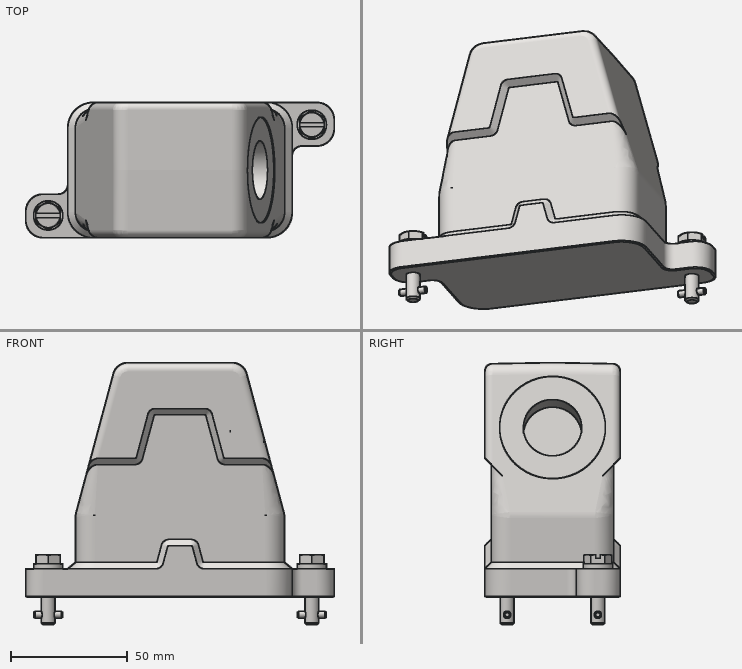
import cadquery as cq
import math

part_length = 132.0
part_width = 58.0
flange_height = 12.1
flange_length = 96.1
underside_chamfer_height = 0.8
underside_chamfer_width = 0.4

ear_width = 18.7
ear_radius = 7.5
ear_root_radius = 4.0
screw_x = 56.4
screw_y = 19.4

hood_length = 89.5
hood_width = 52.5
hood_corner_radius = 8.3
hood_height = 100.3
bend_z = 35.1
bend_radius = 10.0
end_wall_angle = math.radians(15.0)
roof_drop = 0.5
roof_end_radius = 6.6
upper_edge_radius = 3.3

step = (part_width - hood_width) / 2
bevel_taper = 45.0
bevel_top_z = flange_height + step
flange_corner_radius = hood_corner_radius + step

recess_shoulder_z = 59.4
recess_top_z = 80.7
recess_top_half_width = 13.1
recess_wing_half_width = 31.7
recess_bottom_z = 39.6
core_top_z = 81.8
keel_depth = 15.8

tongue_top_z = 24.7
tongue_top_half_width = 7.3
tongue_base_half_length = 33.0
tongue_bottom_z = 5.3

tongue_tip_radius = 3.3
tongue_foot_radius = 0.7

entry_z = 72.6
entry_diameter = 25.0
entry_depth = 13.2
seat_diameter = 45.3
seat_depth = 0.5

collar_diameter = 12.5
collar_height = 2.1
head_height = 4.0
head_corner_diameter = 12.0
head_chamfer_height = 0.4
head_chamfer_width = 0.8
slot_width = 1.8
slot_depth = 1.6
shank_diameter = 6.0
shank_length = 11.7
shank_chamfer = 0.8
cross_pin_diameter = 3.0
cross_pin_length = 12.3
cross_pin_chamfer = 0.5
cross_pin_z = -7.5

pick = 0.7


def end_wall_x(z):
    """X of the sloping +X end wall at height z."""
    return hood_length / 2 - (z - bend_z) * math.tan(end_wall_angle)


def rounded_loft(bottom, top):
    """Straight-sided solid between two rounded rectangles, each (z, length, width, corner radius)."""
    sketches = []
    for z, length, width, radius in (bottom, top):
        sketch = cq.Sketch().rect(length, width).vertices().fillet(radius)
        sketches.append(sketch.moved(cq.Location(cq.Vector(0, 0, z))))
    return cq.Workplane("XY").placeSketch(*sketches).loft(ruled=True)


def on_both_sides(solid):
    """The solid together with its mirror image across the XZ plane."""
    return solid.union(solid.mirror("XZ"))


def beveled_tongue(y, direction, base_z, base_half, shoulder_z, top_z, top_half):
    """Wide base with a tapered tongue in its middle, extruded along Y from plane y.

    The outline has rounded corners and draws in by one step over one step of depth.
    """
    shoulder_half = top_half + (top_z - shoulder_z) * math.tan(end_wall_angle)
    right_side = [
        (base_half, base_z),
        (base_half, shoulder_z),
        (shoulder_half, shoulder_z),
        (top_half, top_z),
    ]
    left_side = [(-x, z) for x, z in reversed(right_side)]
    shoulder_corners = cq.selectors.BoxSelector(
        (-shoulder_half - pick, shoulder_z - pick, -pick), (shoulder_half + pick, shoulder_z + pick, pick)
    )
    outline = (
        cq.Sketch()
        .polygon(right_side + left_side + right_side[:1])
        .vertices(">Y")
        .fillet(tongue_tip_radius)
        .reset()
        .vertices(shoulder_corners)
        .fillet(tongue_foot_radius)
    )
    plane = cq.Plane(origin=(0, y, 0), xDir=(-direction, 0, 0), normal=(0, direction, 0))
    return cq.Workplane(plane).placeSketch(outline).extrude(step, taper=bevel_taper)


def make_flange():
    """Flange plate with its two screw ears and the bevel up to the hood wall."""
    plate = (
        cq.Workplane("XY")
        .rect(flange_length, part_width)
        .extrude(flange_height)
        .edges("|Z")
        .fillet(flange_corner_radius)
    )
    ear = (
        cq.Workplane("XY")
        .rect(part_length / 2, ear_width)
        .extrude(flange_height)
        .edges("|Z and >X")
        .fillet(ear_radius)
        .translate((part_length / 4, (part_width - ear_width) / 2, 0))
    )
    plate = plate.union(ear).union(ear.rotate((0, 0, 0), (0, 0, 1), 180))

    root_x = flange_length / 2
    root_y = part_width / 2 - ear_width
    for side in (1, -1):
        root = cq.selectors.NearestToPointSelector((side * root_x, side * root_y, flange_height / 2))
        plate = plate.edges("|Z").edges(root).fillet(ear_root_radius)
    plate = plate.faces("<Z").edges().chamfer(underside_chamfer_height, underside_chamfer_width)

    bevel = rounded_loft(
        (flange_height, flange_length, part_width, flange_corner_radius),
        (bevel_top_z, hood_length, hood_width, hood_corner_radius),
    )
    return plate.union(bevel)


def make_core():
    """Narrow hood body: upright foot, tapering corners, then a part hidden in the upper hood."""
    foot = (hood_length, hood_width, hood_corner_radius)
    shoulder = (2 * end_wall_x(recess_shoulder_z), hood_width, upper_edge_radius)
    top = (2 * end_wall_x(core_top_z), hood_width, upper_edge_radius)
    core = rounded_loft((0, *foot), (bend_z, *foot))
    core = core.union(rounded_loft((bend_z, *foot), (recess_shoulder_z, *shoulder)))
    core = core.union(rounded_loft((recess_shoulder_z, *shoulder), (core_top_z, *top)))

    bend = cq.selectors.BoxSelector(
        (-part_length, -part_width, bend_z - pick), (part_length, part_width, bend_z + pick)
    )
    return core.edges(bend).fillet(bend_radius)


def make_upper_hood():
    """Wide upper hood with a crowned roof, beveled along its lower edge."""
    half_width = part_width / 2
    bottom_half = end_wall_x(bend_z)
    top_half = end_wall_x(hood_height)
    block = (
        cq.Workplane("XZ")
        .polyline(
            [(-bottom_half, bend_z), (bottom_half, bend_z), (top_half, hood_height), (-top_half, hood_height)]
        )
        .close()
        .extrude(half_width, both=True)
    )
    crown_profile = [
        (-half_width, 0),
        (half_width, 0),
        (half_width, hood_height - roof_drop),
        (0, hood_height),
        (-half_width, hood_height - roof_drop),
    ]
    crown = cq.Workplane("YZ").polyline(crown_profile).close().extrude(part_length / 2, both=True)
    block = block.intersect(crown)

    roof_ends = cq.selectors.BoxSelector(
        (-part_length, -half_width, hood_height - pick), (part_length, half_width, hood_height + pick)
    )
    block = block.edges("not |X").edges(roof_ends).fillet(roof_end_radius)
    block = block.faces("<Y or >Y").edges("not <Z").fillet(upper_edge_radius)

    keel_half = half_width - keel_depth
    keel_z = recess_shoulder_z - keel_depth
    section = [
        (-half_width, hood_height),
        (-half_width, recess_shoulder_z),
        (-keel_half, keel_z),
        (keel_half, keel_z),
        (half_width, recess_shoulder_z),
        (half_width, hood_height),
    ]
    beveled = cq.Workplane("YZ").polyline(section).close().extrude(part_length / 2, both=True)
    recess = beveled_tongue(
        -half_width, 1, recess_bottom_z, recess_wing_half_width, recess_shoulder_z,
        recess_top_z, recess_top_half_width,
    )
    return block.intersect(beveled).cut(on_both_sides(recess))


def make_tongues():
    """Beveled tongue rising from the flange on each long side."""
    tongue = beveled_tongue(
        -hood_width / 2, -1, tongue_bottom_z, tongue_base_half_length, bevel_top_z,
        tongue_top_z, tongue_top_half_width,
    )
    return on_both_sides(tongue)


def make_cable_entry():
    """Cutter for the bore and its shallow round seat, square to the +X end wall."""
    wall_plane = cq.Plane(
        origin=(end_wall_x(entry_z), 0, entry_z),
        xDir=(0, 1, 0),
        normal=(math.cos(end_wall_angle), 0, math.sin(end_wall_angle)),
    )
    bore = cq.Workplane(wall_plane).circle(entry_diameter / 2).extrude(-entry_depth)
    seat = cq.Workplane(wall_plane).circle(seat_diameter / 2).extrude(-seat_depth)
    return bore.union(seat)


def make_screw():
    """Slotted hexagon screw on the Z axis, with a cross pin near its tip."""
    collar_top = flange_height + collar_height
    head_top = collar_top + head_height
    collar = (
        cq.Workplane("XY")
        .workplane(offset=flange_height)
        .circle(collar_diameter / 2)
        .extrude(collar_height)
    )
    head = (
        cq.Workplane("XY")
        .workplane(offset=collar_top)
        .polygon(6, head_corner_diameter)
        .extrude(head_height)
        .rotate((0, 0, 0), (0, 0, 1), 90)
    )
    head_rounding = (
        cq.Workplane("XY")
        .workplane(offset=collar_top)
        .circle(head_corner_diameter / 2)
        .extrude(head_height)
        .faces(">Z")
        .chamfer(head_chamfer_height, head_chamfer_width)
    )
    slot = (
        cq.Workplane("XY")
        .workplane(offset=head_top)
        .rect(head_corner_diameter, slot_width)
        .extrude(-slot_depth)
    )
    shank = (
        cq.Workplane("XY")
        .workplane(offset=-shank_length)
        .circle(shank_diameter / 2)
        .extrude(shank_length + flange_height)
        .faces("<Z")
        .chamfer(shank_chamfer)
    )
    cross_pin = (
        cq.Workplane("YZ", origin=(0, 0, cross_pin_z))
        .circle(cross_pin_diameter / 2)
        .extrude(cross_pin_length / 2, both=True)
        .faces("<X or >X")
        .chamfer(cross_pin_chamfer)
    )
    return collar.union(head.intersect(head_rounding)).cut(slot).union(shank).union(cross_pin)


body = make_flange().union(make_core()).union(make_upper_hood()).union(make_tongues())
body = body.cut(make_cable_entry())

screw = make_screw()
for side in (1, -1):
    body = body.union(screw.translate((side * screw_x, side * screw_y, 0)))

result = body.solids()